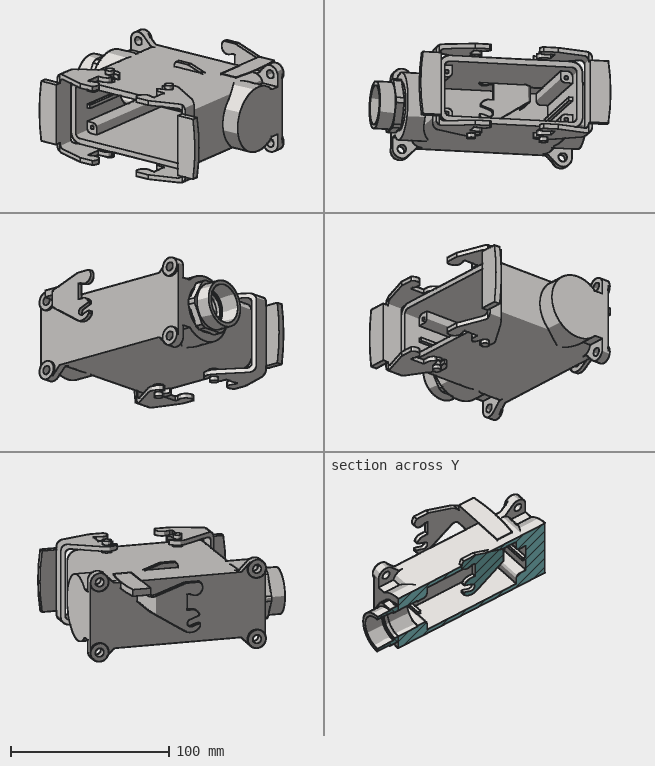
import cadquery as cq
import math


shell_half_width = 46.6
shell_half_height = 21.5
shell_back = 25.4
shell_front = -57.5
shell_edge_radius = 7.1
wall = 3.7
cavity_half_width = shell_half_width - wall
cavity_half_height = shell_half_height - wall
cavity_back = shell_back - wall
cavity_corner_radius = shell_edge_radius - wall

entry_half_span = 58.3
entry_radius = shell_half_height
entry_neck_half_height = 15.8
cable_hole_diameter = 21.9

overall_height = 58.0
overall_half_height = overall_height / 2
flange_front = 20.5
ear_radius = 6.0
ear_hole_diameter = 5.5
ear_pad_height = 1.4
ear_x = entry_half_span - ear_radius
ear_z = overall_half_height - ear_radius
ear_slope_angle = math.radians(45)
ear_foot_radius = 2.0

post_width = 7.6
post_height = 7.5
post_corner_radius = 3.0
post_front = -45.6
post_hole_x = 38.8
post_hole_z = 13.5
post_hole_diameter = 2.5
post_hole_depth = 13.7
rib_width = 2.3
rib_height = 2.3

pin_x = 23.5
pin_y = -47.4
pin_base_diameter = 6.5
pin_neck_diameter = 4.9
pin_head_diameter = 5.5

lever_half_height = 26.4
lever_plate = 3.0
lever_web = 2.5
lever_outer_x = 50.8
lever_bend_outer = 4.1
lever_bend_inner = 3.0
lever_front = -73.8
web_front = -66.4
web_back = -57.0

throat_x = 26.2
rear_finger_y = -56.0
front_edge_end = (48.6, web_front)
front_flat_start = (26.9, lever_front)
front_flat_end = (17.5, lever_front)
front_hook_side = (15.8, -70.0)
front_hook_top = (20.4, -65.3)
front_hook_shoulder = (22.4, -65.7)
front_hook_foot = (24.5, web_front)
finger_start = (22.4, rear_finger_y)
finger_curve = (19.7, -55.0)
finger_tip = (17.9, -52.7)
slot_tilt = math.radians(20)
slot_mouth_x = 18.2
slot_lip_x = 19.4
rear_hook_tip = (17.3, -46.6)
rear_hook_nose = (17.3, -45.0)
rear_hook_curve = (20.1, -42.2)
rear_hook_top = (23.6, -41.3)
rear_hook_bend = (25.8, -41.5)
rear_edge_start = (27.7, -42.3)

grip_half_length = 20.1
grip_thickness = 4.4
grip_edge_x = 60.2
grip_crown_x = 61.7

spare_shift = (-23.8, 25.7, -48.9)

tube_end = -74.9
tube_diameter = 30.0
hex_outer = -65.0
hex_inner = -59.7
hex_across_flats = 31.7
hex_corner_diameter = 34.8
collar_diameter = 31.0
bore_mouth_diameter = 25.0
bore_diameter = 24.2
bore_end = -62.3
seat_end = -61.2
bore_seat_diameter = 22.4


def slab_y(front, back):
    """Workplane for XZ sketches at y = front, and the length to extrude towards +Y."""
    return cq.Workplane("XZ", origin=(0, front, 0)), front - back


def disc_y(x, z, diameter, front, back):
    plane, length = slab_y(front, back)
    return plane.center(x, z).circle(diameter / 2).extrude(length)


def box_y(width, height, front, back):
    plane, length = slab_y(front, back)
    return plane.rect(width, height).extrude(length)


def rounded_box_y(width, height, front, back, radius):
    return box_y(width, height, front, back).edges("|Y").fillet(radius)


def disc_x(diameter, start, end):
    return cq.Workplane("YZ", origin=(start, 0, 0)).circle(diameter / 2).extrude(end - start)


def four_ways(quarter):
    """The quarter at +X +Z together with its mirror images across X = 0 and Z = 0."""
    half = quarter.union(quarter.mirror("YZ"))
    return half.union(half.mirror("XY"))


def make_shell():
    width = 2 * shell_half_width
    height = 2 * shell_half_height
    return rounded_box_y(width, height, shell_front, shell_back, shell_edge_radius)


def make_cavity():
    width = 2 * cavity_half_width
    height = 2 * cavity_half_height
    return rounded_box_y(width, height, shell_front, cavity_back, cavity_corner_radius)


def make_entries():
    barrel = disc_x(2 * entry_radius, -entry_half_span, entry_half_span)
    neck = box_y(2 * entry_half_span, 2 * entry_neck_half_height, 0, shell_back)
    return barrel.union(neck)


def make_ear():
    """Quarter of the flange: a rounded ear whose slope runs out in a small fillet on the shell."""
    slope_x = math.cos(ear_slope_angle)
    slope_z = math.sin(ear_slope_angle)
    foot_center_z = shell_half_height + ear_foot_radius
    reach = ear_radius + ear_foot_radius
    foot_center_x = ear_x - (reach - (foot_center_z - ear_z) * slope_z) / slope_x
    middle_angle = (ear_slope_angle + math.pi / 2) / 2
    foot_middle = (
        foot_center_x + ear_foot_radius * math.cos(middle_angle),
        foot_center_z - ear_foot_radius * math.sin(middle_angle),
    )
    plane, length = slab_y(flange_front, shell_back)
    plate = (
        plane.moveTo(0, 0)
        .lineTo(entry_half_span, 0)
        .lineTo(entry_half_span, ear_z)
        .threePointArc(
            (ear_x + ear_radius * math.sin(ear_slope_angle / 2),
             ear_z + ear_radius * math.cos(ear_slope_angle / 2)),
            (ear_x - ear_radius * slope_x, ear_z + ear_radius * slope_z),
        )
        .lineTo(foot_center_x + ear_foot_radius * slope_x, foot_center_z - ear_foot_radius * slope_z)
        .threePointArc(foot_middle, (foot_center_x, shell_half_height))
        .lineTo(0, shell_half_height)
        .close()
        .extrude(length)
    )
    return plate.union(disc_y(ear_x, ear_z, 2 * ear_radius, flange_front, shell_back + ear_pad_height))


def make_post():
    plane, length = slab_y(post_front, cavity_back)
    center_x = cavity_half_width - post_width / 2
    center_z = cavity_half_height - post_height / 2
    post = plane.center(center_x, center_z).rect(post_width, post_height).extrude(length)
    post = post.edges("|Y and <X and <Z").fillet(post_corner_radius)
    post = post.intersect(make_cavity())
    hole = disc_y(post_hole_x, post_hole_z, post_hole_diameter, post_front, post_front + post_hole_depth)
    return post.cut(hole)


def make_rib():
    plane, length = slab_y(post_front, cavity_back)
    return plane.center(cavity_half_width - rib_height / 2, 0).rect(rib_height, rib_width).extrude(length)


def make_pin():
    lever_inside = lever_half_height - lever_plate
    stages = (
        (pin_base_diameter, cavity_half_height, lever_inside),
        (pin_neck_diameter, lever_inside, lever_half_height),
        (pin_head_diameter, lever_half_height, overall_half_height),
    )
    pin = cq.Workplane("XY")
    for diameter, low, high in stages:
        stage = cq.Workplane("XY", origin=(pin_x, pin_y, low)).circle(diameter / 2).extrude(high - low)
        pin = pin.union(stage)
    return pin


def make_housing():
    ear_hole = disc_y(ear_x, ear_z, ear_hole_diameter, flange_front, shell_back + ear_pad_height)
    body = make_shell().union(make_entries()).union(four_ways(make_ear()))
    body = body.cut(make_cavity()).cut(four_ways(ear_hole))
    body = body.cut(disc_x(cable_hole_diameter, -entry_half_span, -cavity_half_width))
    rib = make_rib()
    body = body.union(four_ways(make_post())).union(rib).union(rib.mirror("YZ"))
    return body.union(four_ways(make_pin()))


def lever_profile():
    """Side plate outlined in X and Y: slotted pin hook at the back, rounded hook in front."""
    slot_radius = pin_neck_diameter / 2
    offset_x = slot_radius * math.sin(slot_tilt)
    offset_y = slot_radius * math.cos(slot_tilt)
    slot_front = (pin_x + offset_x, pin_y - offset_y)
    slot_end = (pin_x + offset_y, pin_y + offset_x)
    slot_back = (pin_x - offset_x, pin_y + offset_y)

    def along_slot(start, x):
        return x, start[1] + (x - start[0]) * math.tan(slot_tilt)

    return (
        cq.Workplane("XY", origin=(0, 0, -lever_half_height))
        .moveTo(lever_outer_x, web_front)
        .lineTo(*front_edge_end)
        .lineTo(*front_flat_start)
        .lineTo(*front_flat_end)
        .threePointArc(front_hook_side, front_hook_top)
        .threePointArc(front_hook_shoulder, front_hook_foot)
        .lineTo(throat_x, web_front)
        .lineTo(throat_x, rear_finger_y)
        .lineTo(*finger_start)
        .threePointArc(finger_curve, finger_tip)
        .lineTo(*along_slot(slot_front, slot_mouth_x))
        .lineTo(*slot_front)
        .threePointArc(slot_end, slot_back)
        .lineTo(*along_slot(slot_back, slot_lip_x))
        .lineTo(*rear_hook_tip)
        .lineTo(*rear_hook_nose)
        .threePointArc(rear_hook_curve, rear_hook_top)
        .threePointArc(rear_hook_bend, rear_edge_start)
        .lineTo(lever_outer_x, web_back)
        .close()
        .extrude(2 * lever_half_height)
    )


def lever_channel():
    """Tube along Y whose +X half is the bent strip: two side plates joined by a web."""
    inner_x = lever_outer_x - lever_web
    inner_half_height = lever_half_height - lever_plate
    outside = rounded_box_y(2 * lever_outer_x, 2 * lever_half_height, lever_front, 0, lever_bend_outer)
    inside = rounded_box_y(2 * inner_x, 2 * inner_half_height, lever_front, 0, lever_bend_inner)
    return outside.cut(inside)


def make_grip():
    inner_x = lever_outer_x - lever_web
    plane, length = slab_y(web_front - grip_thickness, web_front)
    return (
        plane.moveTo(inner_x, -grip_half_length)
        .lineTo(grip_edge_x, -grip_half_length)
        .threePointArc((grip_crown_x, 0), (grip_edge_x, grip_half_length))
        .lineTo(inner_x, grip_half_length)
        .close()
        .extrude(length)
    )


def make_lever():
    return lever_profile().intersect(lever_channel()).union(make_grip())


def make_gland():
    tube = disc_x(tube_diameter, tube_end, hex_outer)
    collar = disc_x(collar_diameter, hex_inner, -entry_half_span)
    corner_distance = hex_across_flats / math.cos(math.pi / 6)
    nut = (
        cq.Workplane("YZ", origin=(hex_outer, 0, 0))
        .polygon(6, corner_distance)
        .extrude(hex_inner - hex_outer)
        .intersect(disc_x(hex_corner_diameter, hex_outer, hex_inner))
    )
    bore = (
        cq.Workplane("YZ", origin=(tube_end, 0, 0))
        .circle(bore_mouth_diameter / 2)
        .workplane(offset=bore_end - tube_end)
        .circle(bore_diameter / 2)
        .loft()
    )
    seat = disc_x(bore_seat_diameter, bore_end, seat_end)
    opening = disc_x(cable_hole_diameter, seat_end, -entry_half_span)
    return tube.union(nut).union(collar).cut(bore).cut(seat).cut(opening)


right_lever = make_lever()
left_lever = right_lever.mirror("YZ")
spare_lever = right_lever.rotate((0, 0, 0), (1, 0, 0), -90).translate(spare_shift)
housing = make_housing().cut(spare_lever)
gland = make_gland()

result = cq.Compound.makeCompound(
    [housing.val(), gland.val(), right_lever.val(), left_lever.val(), spare_lever.val()]
)